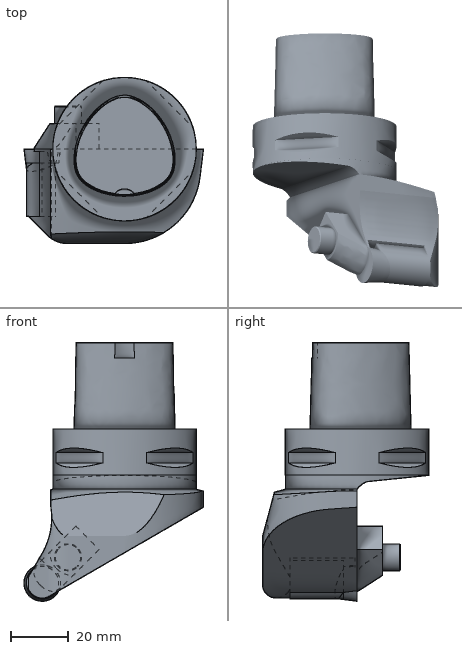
import cadquery as cq
import math


SHANK_HEIGHT = 30.0
SHANK_WIDTH = 35.2
SHANK_TAPER = 1 / 20
LOBE = 1.2
SHANK_POINTS = 24
NOTCH_RADIUS = 4.2
NOTCH_DEPTH_Z = 5.4
NOTCH_INNER_Y = -13.8

FLANGE_RADIUS = 25.0
FLANGE_HEIGHT = 16.0
NECK_RADIUS = 24.95
NECK_BOTTOM = -21.0
GROOVE_Z = -10.05
GROOVE_FLOOR_RADIUS = 22.2
GROOVE_FLOOR_HEIGHT = 3.5
GROOVE_FLANK_ANGLE = 30.0
UNDERCUT_RIM_Z = -16.2
UNDERCUT_FILLET_END = (3.5, -18.4)
UNDERCUT_FILLET_MID = (1.9, -19.2)

INSERT_RADIUS = 6.35
INSERT_THICKNESS = 4.76
INSERT_CLEARANCE = 7.0
INSERT_SKIRT = 9.0
TIP_X = -35.0
TIP_Z = -60.0
INSERT_X = TIP_X + INSERT_RADIUS
INSERT_Z = TIP_Z + INSERT_RADIUS
INSERT_CENTRE = (INSERT_X, INSERT_Z)
TIP_ANGLE = 45.0

HEAD_DEPTH = 32.85
HEAD_RIGHT = 27.49
HEAD_RIGHT_ANGLE = 7.0
HEAD_LEFT = -25.7
HEAD_LEFT_END_Z = -26.8
HEAD_WAIST = (-25.35, -31.2)
HEAD_SLOPE_START_Z = -42.7
NOSE_RADIUS = 5.2
SLOPE_ANGLE = 60.0
BELLY_ANGLE = 30.0
SHOULDER_ANGLE = 15.0
FRONT_BEVEL_ANGLE = 15.0
FRONT_BEVEL_Z = -37.3
SIDE_BEVEL_Y = -23.4
SIDE_BEVEL_X = -33.4
SIDE_BEVEL_RADIUS = 10.0
FAR = 80.0

SUPPORT_RADIUS = 5.7
SUPPORT_SHIFT = 0.3
SUPPORT_END_Y = -23.4
POCKET_START_Y = -0.8
POCKET_EDGE = (-29.6, -44.9)
RELIEF_LENGTH = 14.0

CLAMP_HALF_WIDTH = 5.73
CLAMP_HEIGHT = 8.87
CLAMP_NOSE_CORNER = 3.9
CLAMP_BEVEL_CORNER = 1.4
CLAMP_BEVEL_BULGE = 2.4
CLAMP_BEVEL_SETBACK = 8.1
CLAMP_END = 22.3
SCREW_REACH = 12.7
SCREW_DIAMETER = 9.4
SCREW_TOP_Y = 15.05
SCREW_CHAMFER = 0.3


def offset_from(point, distance, angle):
    """Point at a distance from another, in a direction given in degrees."""
    turn = math.radians(angle)
    return (point[0] + distance * math.cos(turn), point[1] + distance * math.sin(turn))


def xz_plane(y):
    return cq.Workplane("XZ", origin=(0, y, 0))


def lobed_outline(width):
    """Constant-width curve with three lobes, one of them toward +Y."""
    points = []
    for i in range(SHANK_POINTS):
        t = 2 * math.pi * i / SHANK_POINTS
        along = width / 2 * math.cos(t) + 2 * LOBE * math.cos(2 * t) - LOBE * math.cos(4 * t)
        across = width / 2 * math.sin(t) - 2 * LOBE * math.sin(2 * t) - LOBE * math.sin(4 * t)
        points.append((-across, along))
    return points


def make_shank():
    top_width = SHANK_WIDTH - SHANK_HEIGHT * SHANK_TAPER
    shank = (
        cq.Workplane("XY")
        .spline(lobed_outline(SHANK_WIDTH), periodic=True).close()
        .workplane(offset=SHANK_HEIGHT)
        .spline(lobed_outline(top_width), periodic=True).close()
        .loft(ruled=True)
    )
    notch = (
        cq.Workplane("XY", origin=(0, NOTCH_INNER_Y - NOTCH_RADIUS, SHANK_HEIGHT - NOTCH_DEPTH_Z))
        .circle(NOTCH_RADIUS).extrude(NOTCH_DEPTH_Z)
    )
    return shank.cut(notch)


def make_gripper_groove(angle):
    """Straight trapezoidal groove across the rim of the flange."""
    depth = FLANGE_RADIUS - GROOVE_FLOOR_RADIUS
    floor_half = GROOVE_FLOOR_HEIGHT / 2
    mouth_half = floor_half + depth * math.tan(math.radians(GROOVE_FLANK_ANGLE))
    profile = [
        (GROOVE_FLOOR_RADIUS, GROOVE_Z - floor_half),
        (FLANGE_RADIUS, GROOVE_Z - mouth_half),
        (FLANGE_RADIUS, GROOVE_Z + mouth_half),
        (GROOVE_FLOOR_RADIUS, GROOVE_Z + floor_half),
    ]
    groove = cq.Workplane("XZ").polyline(profile).close().extrude(FLANGE_RADIUS, both=True)
    return groove.rotate((0, 0, 0), (0, 0, 1), angle)


def make_flange():
    flange = cq.Workplane("XY").circle(FLANGE_RADIUS).extrude(-FLANGE_HEIGHT)
    for angle in (45, 135, 225, 315):
        flange = flange.cut(make_gripper_groove(angle))
    return flange


def make_neck():
    """Short cylinder under the flange, undercut on the +Y side."""
    neck = (
        cq.Workplane("XY", origin=(0, 0, -FLANGE_HEIGHT))
        .circle(NECK_RADIUS).extrude(NECK_BOTTOM + FLANGE_HEIGHT)
    )
    undercut = (
        cq.Workplane("YZ")
        .moveTo(0, NECK_BOTTOM)
        .threePointArc(UNDERCUT_FILLET_MID, UNDERCUT_FILLET_END)
        .lineTo(FLANGE_RADIUS, UNDERCUT_RIM_Z)
        .lineTo(FLANGE_RADIUS, NECK_BOTTOM)
        .close()
        .extrude(FLANGE_RADIUS, both=True)
    )
    return neck.cut(undercut)


def make_head_side():
    """Side profile: waisted flank, slope down to the round nose, rising belly."""
    slope_tangent = offset_from(INSERT_CENTRE, NOSE_RADIUS, 90 + SLOPE_ANGLE)
    belly_tangent = offset_from(INSERT_CENTRE, NOSE_RADIUS, BELLY_ANGLE - 90)
    nose_mid = offset_from(INSERT_CENTRE, NOSE_RADIUS, (SLOPE_ANGLE + BELLY_ANGLE) / 2 + 180)
    slope_run = (HEAD_SLOPE_START_Z - slope_tangent[1]) / math.tan(math.radians(SLOPE_ANGLE))
    belly_rise = (HEAD_RIGHT - belly_tangent[0]) * math.tan(math.radians(BELLY_ANGLE))
    return (
        cq.Workplane("XZ")
        .moveTo(HEAD_LEFT, NECK_BOTTOM)
        .lineTo(HEAD_LEFT, HEAD_LEFT_END_Z)
        .threePointArc(HEAD_WAIST, (slope_tangent[0] + slope_run, HEAD_SLOPE_START_Z))
        .lineTo(*slope_tangent)
        .threePointArc(nose_mid, belly_tangent)
        .lineTo(HEAD_RIGHT, belly_tangent[1] + belly_rise)
        .lineTo(HEAD_RIGHT, NECK_BOTTOM)
        .close()
        .extrude(HEAD_DEPTH)
    )


def make_head_plan():
    """Plan outline: 45 degree bevel on the left, large round corner on the right."""
    lean = math.radians(HEAD_RIGHT_ANGLE)
    corner_radius = (HEAD_RIGHT * math.cos(lean) - HEAD_DEPTH * math.sin(lean)) / (1 - math.sin(lean))
    corner = (0, corner_radius - HEAD_DEPTH)
    right_tangent = offset_from(corner, corner_radius, -HEAD_RIGHT_ANGLE)
    corner_mid = offset_from(corner, corner_radius, -45)
    bevel_foot = SIDE_BEVEL_X + (HEAD_DEPTH + SIDE_BEVEL_Y)
    plan = (
        cq.Workplane("XY", origin=(0, 0, TIP_Z))
        .moveTo(TIP_X, 0)
        .lineTo(TIP_X, SIDE_BEVEL_Y + SIDE_BEVEL_X - TIP_X)
        .lineTo(bevel_foot, -HEAD_DEPTH)
        .lineTo(0, -HEAD_DEPTH)
        .threePointArc(corner_mid, right_tangent)
        .lineTo(HEAD_RIGHT, 0)
        .close()
        .extrude(NECK_BOTTOM - TIP_Z)
    )
    bevel_corner = cq.selectors.NearestToPointSelector((bevel_foot, -HEAD_DEPTH, (TIP_Z + NECK_BOTTOM) / 2))
    return plan.edges(bevel_corner).fillet(SIDE_BEVEL_RADIUS)


def make_shoulder():
    """Everything under the conical shoulder that falls away from the neck."""
    drop = (FAR - FLANGE_RADIUS) * math.tan(math.radians(SHOULDER_ANGLE))
    return (
        cq.Workplane("XZ")
        .polyline([
            (0, NECK_BOTTOM), (FLANGE_RADIUS, NECK_BOTTOM), (FAR, NECK_BOTTOM - drop),
            (FAR, TIP_Z), (0, TIP_Z),
        ])
        .close()
        .revolve(360, (0, 0), (0, 1))
    )


def make_front_bevel():
    """Wedge cut off the upper -Y face of the head."""
    top_y = -HEAD_DEPTH + (NECK_BOTTOM - FRONT_BEVEL_Z) * math.tan(math.radians(FRONT_BEVEL_ANGLE))
    return (
        cq.Workplane("YZ")
        .polyline([(-HEAD_DEPTH, FRONT_BEVEL_Z), (top_y, NECK_BOTTOM), (-HEAD_DEPTH, NECK_BOTTOM)])
        .close()
        .extrude(FAR, both=True)
    )


def make_head():
    head = make_head_side().intersect(make_head_plan()).intersect(make_shoulder())
    return head.cut(make_front_bevel())


SUPPORT_CENTRE = offset_from(INSERT_CENTRE, SUPPORT_SHIFT, TIP_ANGLE)
FLAT_START = offset_from(SUPPORT_CENTRE, SUPPORT_RADIUS, TIP_ANGLE + 90)


def pocket_wall_point(height):
    """Point on the pocket wall at a height above the bar axis, square to the flat of the support."""
    turn = math.radians(TIP_ANGLE)
    from_axis_x = POCKET_EDGE[0] - SUPPORT_CENTRE[0]
    from_axis_z = POCKET_EDGE[1] - SUPPORT_CENTRE[1]
    reach = from_axis_x * math.cos(turn) + from_axis_z * math.sin(turn)
    return offset_from(offset_from(SUPPORT_CENTRE, reach, TIP_ANGLE), height, TIP_ANGLE + 90)


def make_relief(start_y, end_y, floor_height):
    """Recess open toward -X, from the pocket wall outward above a 45 degree floor."""
    foot = pocket_wall_point(floor_height)
    outer = offset_from(foot, RELIEF_LENGTH, TIP_ANGLE + 180)
    return (
        xz_plane(start_y)
        .polyline([POCKET_EDGE, foot, outer, (outer[0], POCKET_EDGE[1])])
        .close()
        .extrude(start_y - end_y)
    )


def make_pocket():
    """Relief above the flat of the support, deeper beside the insert."""
    beside_insert = make_relief(POCKET_START_Y, -INSERT_THICKNESS, 0)
    above_support = make_relief(-INSERT_THICKNESS, SUPPORT_END_Y, SUPPORT_RADIUS)
    return beside_insert.union(above_support)


def make_support():
    """Round bar under the insert, with a flat that runs into the pocket wall."""
    length = -INSERT_THICKNESS - SUPPORT_END_Y
    bar = xz_plane(-INSERT_THICKNESS).center(*SUPPORT_CENTRE).circle(SUPPORT_RADIUS).extrude(length)
    wedge = (
        xz_plane(-INSERT_THICKNESS)
        .polyline([SUPPORT_CENTRE, FLAT_START, pocket_wall_point(SUPPORT_RADIUS)])
        .close()
        .extrude(length)
    )
    return bar.union(wedge)


def nosed_outline(plane, corner, bulge):
    """Closed outline of a bar along the clamp axis, with an arc nose.

    The nose begins at a distance (corner) from the insert axis and bulges toward the insert.
    """
    upper = TIP_ANGLE + 90
    lower = TIP_ANGLE - 90
    end_middle = offset_from(INSERT_CENTRE, CLAMP_END, TIP_ANGLE)
    nose_middle = offset_from(INSERT_CENTRE, corner, TIP_ANGLE)
    return (
        plane
        .moveTo(*offset_from(end_middle, CLAMP_HALF_WIDTH, upper))
        .lineTo(*offset_from(nose_middle, CLAMP_HALF_WIDTH, upper))
        .threePointArc(
            offset_from(nose_middle, bulge, TIP_ANGLE + 180),
            offset_from(nose_middle, CLAMP_HALF_WIDTH, lower),
        )
        .lineTo(*offset_from(end_middle, CLAMP_HALF_WIDTH, lower))
        .close()
    )


def make_clamp():
    """Upright round-nosed bar whose nose is bevelled back with height, held by a screw."""
    upright = nosed_outline(cq.Workplane("XZ"), CLAMP_NOSE_CORNER, CLAMP_HALF_WIDTH).extrude(-CLAMP_HEIGHT)
    foot = nosed_outline(cq.Workplane("XZ"), CLAMP_BEVEL_CORNER, CLAMP_BEVEL_BULGE)
    bevelled = nosed_outline(
        foot.workplane(offset=-CLAMP_HEIGHT),
        CLAMP_BEVEL_CORNER + CLAMP_BEVEL_SETBACK,
        CLAMP_BEVEL_BULGE,
    ).loft(ruled=True)
    bar = upright.intersect(bevelled)
    screw = (
        xz_plane(SCREW_TOP_Y)
        .center(*offset_from(INSERT_CENTRE, SCREW_REACH, TIP_ANGLE))
        .circle(SCREW_DIAMETER / 2)
        .extrude(SCREW_TOP_Y)
        .faces(">Y").chamfer(SCREW_CHAMFER)
    )
    return bar.union(screw)


def make_cone(length):
    """Clearance cone of the insert, narrowing toward -Y."""
    return (
        cq.Workplane("XZ").center(*INSERT_CENTRE)
        .circle(INSERT_RADIUS).extrude(length, taper=INSERT_CLEARANCE)
    )


def make_holder():
    body = make_shank().union(make_flange()).union(make_neck()).union(make_head())
    body = body.cut(make_pocket()).union(make_support())
    body = body.cut(make_cone(INSERT_THICKNESS))
    return body.union(make_clamp())


def make_insert(holder):
    """Round insert whose cone laps over the rim of its support."""
    return make_cone(INSERT_SKIRT).cut(holder)


holder = make_holder()
insert = make_insert(holder)

result = cq.Compound.makeCompound([*holder.solids().vals(), *insert.solids().vals()])